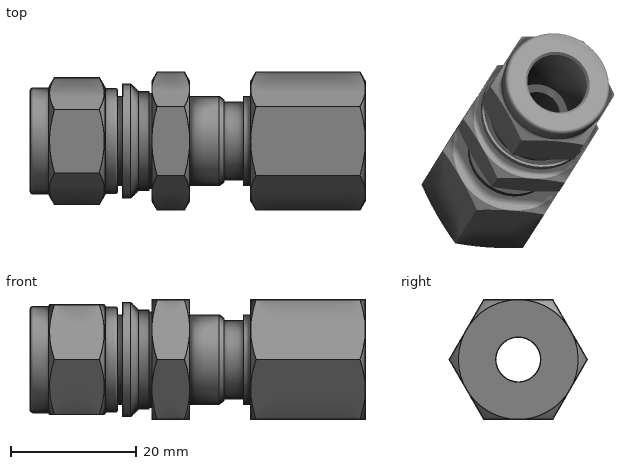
import cadquery as cq
import math

LENGTH = 53.55

NUT_HEX_START = 2.95
NUT_HEX_END = 12.05
NUT_END = 13.9
FLANGE_START = 14.8
RECESS_STEP_START = 15.5
FLANGE_RIM_END = 16.05
FLANGE_CONE_END = 17.3
RELIEF_START = 18.95
JAM_HEX_START = 19.45
JAM_HEX_END = 25.5
BODY_CYLINDER_END = 30.2
BODY_END = 31.0
COLLAR_START = 34.05
END_HEX_START = 35.2

NUT_FRONT_DIAMETER = 17.0
NUT_REAR_DIAMETER = 16.8
SHANK_DIAMETER = 14.3
FLANGE_DIAMETER = 18.25
FLANGE_HUB_DIAMETER = 15.8
RECESS_STEP_DIAMETER = 15.1
FLANGE_RECESS_DIAMETER = 17.65
RELIEF_DIAMETER = 15.25
BODY_TIP_DIAMETER = 13.05
NECK_DIAMETER = 12.5
BORE_DIAMETER = 7.1
SOCKET_DIAMETER = 9.75
SOCKET_MOUTH_DIAMETER = 10.5

NUT_ACROSS_FLATS = 17.55
BODY_ACROSS_FLATS = 19.1
HEX_CHAMFER_ANGLE = math.radians(30)

NUT_FRONT_FILLET = 0.55
NUT_REAR_FILLET = 0.3
SOCKET_DEPTH = 15.0


def cylinder(start, end, diameter):
    return cq.Workplane("YZ", origin=(start, 0, 0)).circle(diameter / 2).extrude(end - start)


def cone(start, end, start_diameter, end_diameter):
    """Solid frustum along X."""
    profile = [
        (start, 0),
        (start, start_diameter / 2),
        (end, end_diameter / 2),
        (end, 0),
    ]
    return cq.Workplane("XY").polyline(profile).close().revolve(360, (0, 0, 0), (1, 0, 0))


def chamfered_hex(start, end, across_flats, start_diameter, end_diameter):
    """Hexagonal prism along X, coned at each end from its corners to the given face diameter."""
    corner_diameter = across_flats / math.cos(math.pi / 6)
    start_depth = (corner_diameter - start_diameter) / 2 * math.tan(HEX_CHAMFER_ANGLE)
    end_depth = (corner_diameter - end_diameter) / 2 * math.tan(HEX_CHAMFER_ANGLE)
    prism = cq.Workplane("YZ", origin=(start, 0, 0)).polygon(6, corner_diameter).extrude(end - start)
    envelope = (
        cone(start, start + start_depth, start_diameter, corner_diameter)
        .union(cylinder(start + start_depth, end - end_depth, corner_diameter))
        .union(cone(end - end_depth, end, corner_diameter, end_diameter))
    )
    return prism.intersect(envelope)


def body_hex(start, end):
    """Hexagon whose end-face circles touch its flats."""
    return chamfered_hex(start, end, BODY_ACROSS_FLATS, BODY_ACROSS_FLATS, BODY_ACROSS_FLATS)


def tube_nut():
    front = cylinder(0, NUT_HEX_END, NUT_FRONT_DIAMETER).faces("<X").edges().fillet(NUT_FRONT_FILLET)
    rear = cylinder(NUT_HEX_START, NUT_END, NUT_REAR_DIAMETER).faces(">X").edges().fillet(NUT_REAR_FILLET)
    grip = chamfered_hex(
        NUT_HEX_START, NUT_HEX_END, NUT_ACROSS_FLATS, NUT_FRONT_DIAMETER, NUT_REAR_DIAMETER
    )
    return grip.union(front).union(rear)


def flange_recess():
    """Ring-shaped hollow in the flange's front face, rounded from its mouth down to the stepped shank."""
    mouth_radius = FLANGE_RECESS_DIAMETER / 2
    shank_radius = SHANK_DIAMETER / 2
    radius = mouth_radius - shank_radius
    arc_middle = radius * math.sin(math.pi / 4)
    return (
        cq.Workplane("XY")
        .moveTo(FLANGE_START, shank_radius)
        .lineTo(FLANGE_START, mouth_radius)
        .threePointArc(
            (FLANGE_START + arc_middle, shank_radius + arc_middle),
            (FLANGE_START + radius, shank_radius),
        )
        .close()
        .revolve(360, (0, 0, 0), (1, 0, 0))
    )


def flange():
    rim = cylinder(FLANGE_START, FLANGE_RIM_END, FLANGE_DIAMETER)
    taper = cone(FLANGE_RIM_END, FLANGE_CONE_END, FLANGE_DIAMETER, FLANGE_HUB_DIAMETER)
    hub = cylinder(FLANGE_CONE_END, RELIEF_START, FLANGE_HUB_DIAMETER)
    relief = cylinder(RELIEF_START, JAM_HEX_START, RELIEF_DIAMETER)
    step = cylinder(RECESS_STEP_START, FLANGE_CONE_END, RECESS_STEP_DIAMETER)
    return rim.union(taper).union(hub).union(relief).cut(flange_recess()).union(step)


def body():
    shank = cylinder(NUT_END, BODY_CYLINDER_END, SHANK_DIAMETER)
    tip = cone(BODY_CYLINDER_END, BODY_END, SHANK_DIAMETER, BODY_TIP_DIAMETER)
    neck = cylinder(BODY_END, COLLAR_START, NECK_DIAMETER)
    collar = cylinder(COLLAR_START, END_HEX_START, SHANK_DIAMETER)
    jam_hex = body_hex(JAM_HEX_START, JAM_HEX_END)
    end_hex = body_hex(END_HEX_START, LENGTH)
    return shank.union(tip).union(neck).union(collar).union(jam_hex).union(end_hex)


def passage():
    """Through bore with the wider tube socket and its 45 degree mouth chamfer."""
    mouth_depth = (SOCKET_MOUTH_DIAMETER - SOCKET_DIAMETER) / 2
    mouth = cone(0, mouth_depth, SOCKET_MOUTH_DIAMETER, SOCKET_DIAMETER)
    socket = cylinder(0, SOCKET_DEPTH, SOCKET_DIAMETER)
    return cylinder(0, LENGTH, BORE_DIAMETER).union(socket).union(mouth)


result = tube_nut().union(flange()).union(body()).cut(passage())